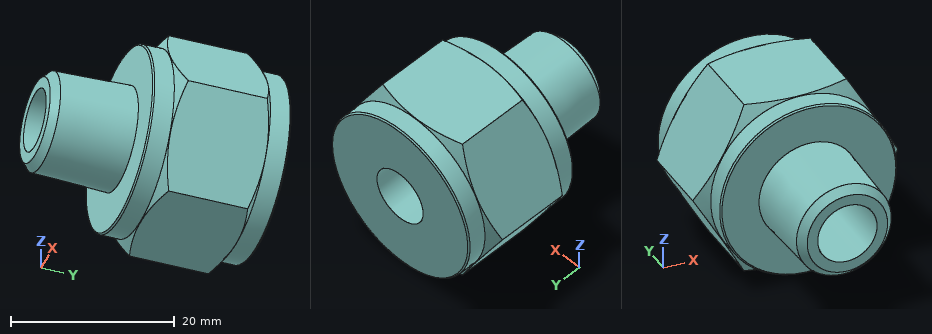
import cadquery as cq
import math

total_length = 29.0
spigot_length = 11.0
collar_length = 2.75
hex_start = spigot_length + collar_length
hex_end = total_length - collar_length
hex_length = hex_end - hex_start

across_flats = 24.0
corner_radius = across_flats / math.sqrt(3)
collar_radius = 11.95
collar_chamfer = 0.2
hex_chamfer_angle = math.radians(30)
hex_chamfer_length = (corner_radius - collar_radius) * math.tan(hex_chamfer_angle)

spigot_root_radius = 6.73
taper_per_side = 1 / 32
tip_chamfer = 1.0
tip_chamfer_start_radius = spigot_root_radius - (spigot_length - tip_chamfer) * taper_per_side
tip_radius = tip_chamfer_start_radius - tip_chamfer
bore_radius = 4.0


def revolve_profile(points):
    """Revolve a closed outline of (radius, Y) points about the Y axis."""
    return cq.Workplane("XY").polyline(points).close().revolve(360, (0, 0, 0), (0, 1, 0))


def make_collar(start):
    """Plain cylindrical collar running in +Y from start."""
    return cq.Workplane("XZ", origin=(0, start, 0)).circle(collar_radius).extrude(-collar_length)


def make_hexagon():
    """Hexagon with corners on the X axis and both ends conically chamfered."""
    prism = (
        cq.Workplane("XZ", origin=(0, hex_start, 0))
        .polygon(6, 2 * corner_radius)
        .extrude(-hex_length)
    )
    chamfer_envelope = revolve_profile([
        (0, hex_start),
        (collar_radius, hex_start),
        (corner_radius, hex_start + hex_chamfer_length),
        (corner_radius, hex_end - hex_chamfer_length),
        (collar_radius, hex_end),
        (0, hex_end),
    ])
    return prism.intersect(chamfer_envelope)


def make_spigot():
    """Tapered spigot with a chamfered tip."""
    return revolve_profile([
        (0, 0),
        (tip_radius, 0),
        (tip_chamfer_start_radius, tip_chamfer),
        (spigot_root_radius, spigot_length),
        (0, spigot_length),
    ])


front_collar = make_collar(spigot_length).faces("<Y").chamfer(collar_chamfer)
back_collar = make_collar(hex_end).faces(">Y").chamfer(collar_chamfer)
bore = cq.Workplane("XZ").circle(bore_radius).extrude(-total_length)

result = make_hexagon().union(front_collar).union(back_collar).union(make_spigot()).cut(bore)